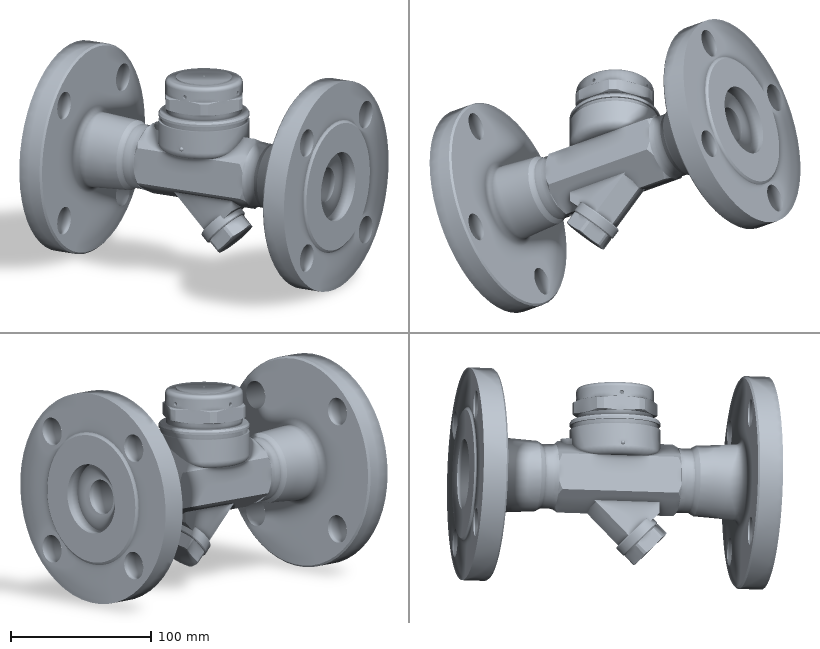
import cadquery as cq
import math


FACE_TO_FACE = 220.0
FLANGE_DIA = 152.0
RAISED_FACE_DIA = 92.0
RAISED_FACE_BASE_DIA = 95.8
RAISED_FACE_HEIGHT = 1.6
FLANGE_THICKNESS = 17.9
FLANGE_CHAMFER = 1.3
BOLT_CIRCLE_DIA = 120.7
BOLT_HOLE_DIA = 20.0
BOLT_COUNT = 4
HUB_BIG_DIA = 54.2
HUB_SMALL_DIA = 50.4
HUB_FILLET = 4.0
HUB_END_X = 57.6
PIPE_START_X = 53.8
PIPE_DIA = 46.0
FLARE_START_X = 48.0
FLARE_END_DIA = 47.0
SOCKET_DIA = 50.0
SOCKET_DEPTH = 10.0
BORE_DIA = 25.0
BORE_END_X = 50.0

HEX_SIDES = 6

BLOCK_FLATS = 45.0
BLOCK_LENGTH = 88.6
BLOCK_CHAMFER = 2.4

CHAMBER_DIA = 65.0
CHAMBER_BOTTOM_Z = 13.0
CHAMBER_FILLET = 5.4
CHAMBER_TOP_Z = 34.5
GROOVE_DIA = 62.0
LIP_BOTTOM_Z = 38.0
LIP_CHAMFER_Z = 39.7
LIP_TOP_Z = 41.2
LIP_TOP_DIA = 63.0
NECK_DIA = 54.0
COVER_HEX_FLATS = 55.0
COVER_HEX_ROUND_DIA = 60.6
COVER_HEX_BOTTOM_Z = 45.1
COVER_HEX_TOP_Z = 55.0
COVER_HEX_CHAMFER = 0.9
CAP_DIA = 55.5
CAP_TOP_Z = 65.5
CAP_FILLET = 3.0
CAP_DISC_DIA = 40.0
CAP_DISC_HEIGHT = 0.8
CENTRE_MARK_RADIUS = 0.8
VENT_DIA = 3.0
VENT_DEPTH = 2.0
VENT_Z = 57.9
VENT_COUNT = 4
NUB_DIA = 3.0
NUB_Z = 20.5
PAD_RADIUS = 5.2
PAD_X = -34.4
PAD_TOP_Z = 27.2

BRANCH_START_Z = -25.0
BRANCH_ANGLE = 45.0
BRANCH_FLATS = 26.0
BRANCH_END = 22.0
BRANCH_SIDE_X = 30.0
BRANCH_TOP_Z = -18.5
PLUG_SEAT = 18.3
COLLAR_DIA = 34.0
COLLAR_END = 26.3
COLLAR_CHAMFER = 0.7
PLUG_HEX_FLATS = 30.0
PLUG_HEX_ROUND_DIA = 33.4
PLUG_HEX_CHAMFER = 0.5
PLUG_END = 36.4


def hex_across(flats):
    """Corner-to-corner size of a hexagon with the given size across flats."""
    return 2 * flats / math.sqrt(3)


def turned_hex(flats, length, end_dia, round_dia, chamfer):
    """Hexagonal bar along Z whose corners are turned and chamfered at both ends."""
    prism = cq.Workplane("XY").polygon(HEX_SIDES, hex_across(flats)).extrude(length)
    envelope = (
        cq.Workplane("XZ")
        .moveTo(0, 0)
        .lineTo(end_dia / 2, 0)
        .lineTo(round_dia / 2, chamfer)
        .lineTo(round_dia / 2, length - chamfer)
        .lineTo(end_dia / 2, length)
        .lineTo(0, length)
        .close()
        .revolve(360, (0, 0, 0), (0, 1, 0))
    )
    return prism.intersect(envelope)


def on_branch(shape):
    """Move a shape built along +Z at the origin onto the branch axis."""
    tilt = 180 - BRANCH_ANGLE
    return shape.rotate((0, 0, 0), (0, 1, 0), tilt).translate((0, 0, BRANCH_START_Z))


def flange_and_pipe():
    """Flange, tapered hub and pipe of the -X end, up to the end face of the block."""
    face_x = -FACE_TO_FACE / 2
    front_x = face_x + RAISED_FACE_HEIGHT
    back_x = front_x + FLANGE_THICKNESS
    flange_r = FLANGE_DIA / 2
    hub_r = HUB_BIG_DIA / 2
    fillet_mid = HUB_FILLET * (1 - math.sqrt(0.5))
    pipe_r = PIPE_DIA / 2
    solid = (
        cq.Workplane("XY")
        .moveTo(face_x, 0)
        .lineTo(face_x, RAISED_FACE_DIA / 2)
        .lineTo(front_x, RAISED_FACE_BASE_DIA / 2)
        .lineTo(front_x, flange_r)
        .lineTo(back_x - FLANGE_CHAMFER, flange_r)
        .lineTo(back_x, flange_r - FLANGE_CHAMFER)
        .lineTo(back_x, hub_r + HUB_FILLET)
        .threePointArc((back_x + fillet_mid, hub_r + fillet_mid), (back_x + HUB_FILLET, hub_r))
        .lineTo(-HUB_END_X, HUB_SMALL_DIA / 2)
        .lineTo(-PIPE_START_X, pipe_r)
        .lineTo(-FLARE_START_X, pipe_r)
        .tangentArcPoint((-BLOCK_LENGTH / 2, FLARE_END_DIA / 2), relative=False)
        .lineTo(-BLOCK_LENGTH / 2, 0)
        .close()
        .revolve(360, (0, 0, 0), (1, 0, 0))
    )
    socket = cq.Workplane("YZ", origin=(face_x, 0, 0)).circle(SOCKET_DIA / 2).extrude(SOCKET_DEPTH)
    bore = (
        cq.Workplane("YZ", origin=(face_x, 0, 0))
        .circle(BORE_DIA / 2)
        .extrude(-BORE_END_X - face_x)
    )
    bolt_holes = (
        cq.Workplane("YZ", origin=(face_x, 0, 0))
        .polarArray(BOLT_CIRCLE_DIA / 2, 180 / BOLT_COUNT, 360, BOLT_COUNT)
        .circle(BOLT_HOLE_DIA / 2)
        .extrude(back_x - face_x)
    )
    return solid.cut(socket).cut(bore).cut(bolt_holes)


def centre_block():
    """Hexagonal block along X with corners at the top and the bottom."""
    corner_dia = hex_across(BLOCK_FLATS)
    block = turned_hex(BLOCK_FLATS, BLOCK_LENGTH, FLARE_END_DIA, corner_dia, BLOCK_CHAMFER)
    return block.translate((0, 0, -BLOCK_LENGTH / 2)).rotate((0, 0, 0), (0, 1, 0), 90)


def trap_chamber():
    """Round chamber, lip and neck, with the pad and the nub on its outside."""
    chamber_r = CHAMBER_DIA / 2
    chamber = (
        cq.Workplane("XY", origin=(0, 0, CHAMBER_BOTTOM_Z))
        .circle(chamber_r)
        .extrude(CHAMBER_TOP_Z - CHAMBER_BOTTOM_Z)
        .faces("<Z")
        .edges()
        .fillet(CHAMBER_FILLET)
    )
    top = (
        cq.Workplane("XZ")
        .moveTo(0, CHAMBER_TOP_Z)
        .lineTo(GROOVE_DIA / 2, CHAMBER_TOP_Z)
        .lineTo(GROOVE_DIA / 2, LIP_BOTTOM_Z)
        .lineTo(chamber_r, LIP_BOTTOM_Z)
        .lineTo(chamber_r, LIP_CHAMFER_Z)
        .lineTo(LIP_TOP_DIA / 2, LIP_TOP_Z)
        .lineTo(NECK_DIA / 2, LIP_TOP_Z)
        .lineTo(NECK_DIA / 2, COVER_HEX_BOTTOM_Z)
        .lineTo(0, COVER_HEX_BOTTOM_Z)
        .close()
        .revolve(360, (0, 0, 0), (0, 1, 0))
    )
    pad = (
        cq.Workplane("XY")
        .moveTo(0, PAD_RADIUS)
        .lineTo(PAD_X, PAD_RADIUS)
        .threePointArc((PAD_X - PAD_RADIUS, 0), (PAD_X, -PAD_RADIUS))
        .lineTo(0, -PAD_RADIUS)
        .close()
        .extrude(PAD_TOP_Z)
    )
    nub = cq.Workplane("XY").sphere(NUB_DIA / 2).translate((0, -chamber_r, NUB_Z))
    return chamber.union(top).union(pad).union(nub)


def cover():
    """Hexagon and round cap on top of the chamber."""
    hexagon = turned_hex(
        COVER_HEX_FLATS,
        COVER_HEX_TOP_Z - COVER_HEX_BOTTOM_Z,
        COVER_HEX_FLATS,
        COVER_HEX_ROUND_DIA,
        COVER_HEX_CHAMFER,
    ).translate((0, 0, COVER_HEX_BOTTOM_Z))
    cap = (
        cq.Workplane("XY", origin=(0, 0, COVER_HEX_TOP_Z))
        .circle(CAP_DIA / 2)
        .extrude(CAP_TOP_Z - COVER_HEX_TOP_Z)
        .faces(">Z")
        .edges()
        .fillet(CAP_FILLET)
    )
    disc = (
        cq.Workplane("XY", origin=(0, 0, CAP_TOP_Z))
        .circle(CAP_DISC_DIA / 2)
        .extrude(CAP_DISC_HEIGHT)
    )
    mark = cq.Workplane("XY").sphere(CENTRE_MARK_RADIUS).translate((0, 0, CAP_TOP_Z + CAP_DISC_HEIGHT))
    cap = cap.union(disc).union(mark)
    for index in range(VENT_COUNT):
        vent = (
            cq.Workplane("YZ", origin=(CAP_DIA / 2 - VENT_DEPTH, 0, VENT_Z))
            .circle(VENT_DIA / 2)
            .extrude(2 * VENT_DEPTH)
            .rotate((0, 0, 0), (0, 0, 1), index * 360 / VENT_COUNT)
        )
        cap = cap.cut(vent)
    return hexagon.union(cap)


def strainer_branch():
    """Slanted branch: hexagonal below, filled up to a vertical side, with the plug recess."""
    half_width = BRANCH_FLATS / 2
    corner_r = hex_across(BRANCH_FLATS) / 2
    diagonal = math.sqrt(2)
    flat_sum = BRANCH_START_Z - corner_r / 2 * diagonal
    end_difference = BRANCH_END * diagonal - BRANCH_START_Z
    flat_end_x = (flat_sum + end_difference) / 2
    filled = (
        cq.Workplane("XZ", origin=(0, half_width, 0))
        .moveTo(flat_sum - BRANCH_TOP_Z, BRANCH_TOP_Z)
        .lineTo(BRANCH_SIDE_X, BRANCH_TOP_Z)
        .lineTo(BRANCH_SIDE_X, BRANCH_SIDE_X - end_difference)
        .lineTo(flat_end_x, flat_sum - flat_end_x)
        .close()
        .extrude(BRANCH_FLATS)
    )
    hexagon = on_branch(
        cq.Workplane("XY")
        .polygon(HEX_SIDES, 2 * corner_r)
        .extrude(BRANCH_END + corner_r)
        .translate((0, 0, -corner_r))
    )
    recess = on_branch(
        cq.Workplane("XY", origin=(0, 0, PLUG_SEAT)).circle(COLLAR_DIA / 2).extrude(COLLAR_DIA)
    )
    return filled.union(hexagon).cut(recess)


def make_body():
    inlet = flange_and_pipe()
    outlet = inlet.mirror("YZ")
    body = centre_block().union(inlet).union(outlet)
    return body.union(trap_chamber()).union(cover()).union(strainer_branch())


def make_plug():
    """Screw plug: chamfered collar seated in the branch recess, and a hexagon head."""
    collar = (
        cq.Workplane("XY", origin=(0, 0, PLUG_SEAT))
        .circle(COLLAR_DIA / 2)
        .extrude(COLLAR_END - PLUG_SEAT)
        .edges()
        .chamfer(COLLAR_CHAMFER)
    )
    head = turned_hex(
        PLUG_HEX_FLATS, PLUG_END - COLLAR_END, PLUG_HEX_FLATS, PLUG_HEX_ROUND_DIA, PLUG_HEX_CHAMFER
    ).translate((0, 0, COLLAR_END))
    return on_branch(collar.union(head))


body = make_body()
plug = make_plug()
result = cq.Compound.makeCompound([body.val(), plug.val()])